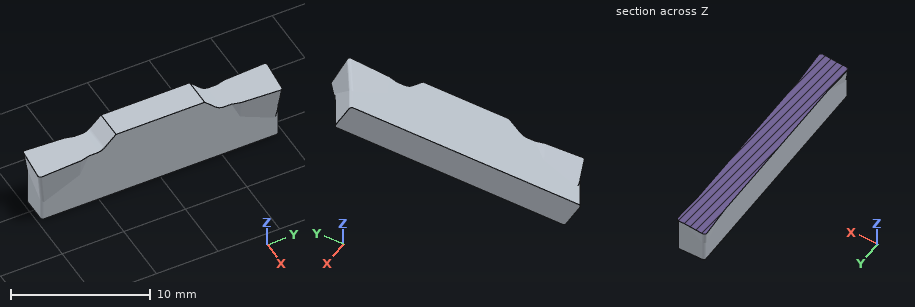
import cadquery as cq
import math

body_width = 2.33
body_length = 19.3
overall_height = 5.76
land_height = 4.61
block_half_length = 3.6
ramp_angle = 44.0
ramp_root_radius = 0.95
corner_radius = 0.22

head_middle_y = 9.91
head_end_angle = 5.0
head_edge_half_width = 1.524
head_edge_y = 9.8
head_root_half_width = 1.343
head_root_y = 6.5
neck_end_y = 5.78
head_inner_y = 5.0
head_depth = 3.2
flank_relief_angle = 6.5
end_relief_angle = 7.0
match_tolerance = 0.01
head_root_radius = 0.4


def make_body():
    rise = overall_height - land_height
    ramp_foot_y = block_half_length + rise / math.tan(math.radians(ramp_angle))
    half_length = body_length / 2
    profile = [
        (-half_length, 0),
        (half_length, 0),
        (half_length, land_height),
        (ramp_foot_y, land_height),
        (block_half_length, overall_height),
        (-block_half_length, overall_height),
        (-ramp_foot_y, land_height),
        (-half_length, land_height),
    ]
    body = cq.Workplane("YZ").polyline(profile).close().extrude(body_width / 2, both=True)
    body = body.edges("|Z").fillet(corner_radius)
    for side in (-1, 1):
        foot = cq.selectors.NearestToPointSelector((0, side * ramp_foot_y, land_height))
        body = body.edges("|X").edges(foot).fillet(ramp_root_radius)
    return body


def head_corner(side, depth):
    """Where the skewed end face meets the flank on the given X side (+1 or -1), at a depth below the land."""
    flare = (head_edge_half_width - head_root_half_width) / (head_edge_y - head_root_y)
    skew = math.tan(math.radians(head_end_angle))
    middle_y = head_middle_y - depth * math.tan(math.radians(end_relief_angle))
    middle_half_width = flank_half_width(head_root_half_width, depth) + flare * (middle_y - head_root_y)
    half_width = middle_half_width / (1 + side * flare * skew)
    return side * half_width, middle_y - side * half_width * skew


def flank_half_width(land_half_width, depth):
    return land_half_width - depth * math.tan(math.radians(flank_relief_angle))


def head_outline(depth):
    """Section of the head at the given depth below the land, before its edges are rounded."""
    neck_half_width = flank_half_width(body_width / 2, depth)
    root_half_width = flank_half_width(head_root_half_width, depth)
    points = [
        (-neck_half_width, head_inner_y),
        (neck_half_width, head_inner_y),
        (neck_half_width, neck_end_y),
        (root_half_width, head_root_y),
        head_corner(1, depth),
        head_corner(-1, depth),
        (-root_half_width, head_root_y),
        (-neck_half_width, neck_end_y),
    ]
    return cq.Wire.makePolygon([cq.Vector(x, y, land_height - depth) for x, y in points], close=True)


def make_head():
    """Cutting head at the +Y end."""
    sections = [head_outline(head_depth), head_outline(0)]
    head = cq.Workplane(cq.Solid.makeLoft(sections, True))
    for side in (-1, 1):
        root = (side * head_root_half_width, head_root_y)
        head = fillet_upright_edge(head, root, head_root_radius)
        head = fillet_upright_edge(head, head_corner(side, 0), corner_radius)
    return head


def fillet_upright_edge(solid, land_point, radius):
    """Round the steep edge that starts at the given point of the land."""
    target = cq.Vector(*land_point, land_height)

    def starts_at_target(edge):
        ends = (edge.startPoint(), edge.endPoint())
        is_steep = abs(ends[0].z - ends[1].z) > head_depth / 2
        return is_steep and min((end - target).Length for end in ends) < match_tolerance

    return solid.edges().filter(starts_at_target).fillet(radius)


head = make_head()
opposite_head = head.rotate((0, 0, 0), (0, 0, 1), 180)
result = make_body().union(head).union(opposite_head).clean()